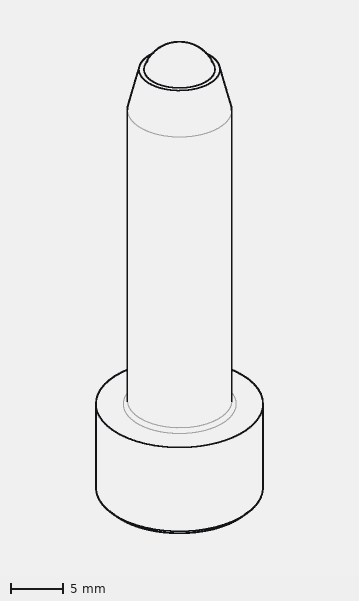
import cadquery as cq
import math

total_height = 49.95
head_diameter = 16.0
head_height = 10.0
head_chamfer = 0.6
shank_diameter = 10.0
root_fillet = 0.4
tip_height = 2.5
tip_base_radius = 3.4
taper_height = 4.5
taper_angle = 14.0

head_radius = head_diameter / 2
shank_radius = shank_diameter / 2
taper_top = total_height - tip_height
taper_bottom = taper_top - taper_height
taper_top_radius = shank_radius - taper_height * math.tan(math.radians(taper_angle))

tip_radius = (tip_base_radius**2 + tip_height**2) / (2 * tip_height)
tip_center = total_height - tip_radius
half_angle = math.asin(tip_base_radius / tip_radius) / 2
tip_arc_middle = (
    tip_radius * math.sin(half_angle),
    tip_center + tip_radius * math.cos(half_angle),
)

fillet_offset = root_fillet * (1 - math.sqrt(0.5))
fillet_middle = (shank_radius + fillet_offset, head_height + fillet_offset)

profile = (
    cq.Workplane("XZ")
    .moveTo(0, 0)
    .lineTo(head_radius - head_chamfer, 0)
    .lineTo(head_radius, head_chamfer)
    .lineTo(head_radius, head_height)
    .lineTo(shank_radius + root_fillet, head_height)
    .threePointArc(fillet_middle, (shank_radius, head_height + root_fillet))
    .lineTo(shank_radius, taper_bottom)
    .lineTo(taper_top_radius, taper_top)
    .lineTo(tip_base_radius, taper_top)
    .threePointArc(tip_arc_middle, (0, total_height))
    .close()
)
result = profile.revolve(360, (0, 0, 0), (0, 1, 0))